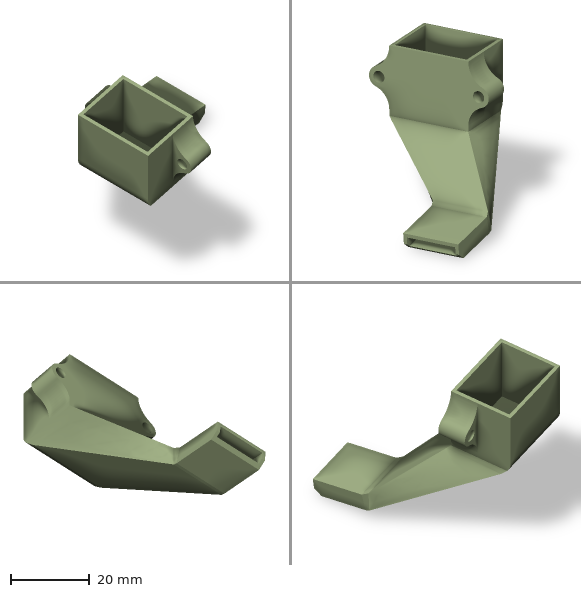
import cadquery as cq
import math

wall = 1.0
box_width = 22.95
box_depth = 18.05
box_bottom = -19.15
bend_radius = 5.0
bend_start = -16.1

ear_thickness = 8.0
ear_offset = 3.0
ear_z = -9.1
ear_radius = 2.9
ear_reach_up = -ear_z
ear_reach_down = 8.3
hole_diameter = 3.2

shoulder_bottom = (2.5, -20.45)
shoulder_top = (18.95, -19.95)
shoulder_left = -0.7
shoulder_width = 22.55
shoulder_shift = -0.1

tip_left = -15.05
tip_width = 16.05
neck_shift = 0.6
neck_bottom = (32.95, -37.95)
neck_top = (33.6, -32.7)
tip_root_bottom = (34.05, -38.4)
tip_root_top = (35.3, -33.55)
tip_lip = (48.05, -35.6)
tip_end_top = (50.1, -35.95)
tip_end_bottom = (49.75, -38.9)
tip_chamfer_bottom = (47.5, -40.55)
outlet_overrun = 2.5


def side_prism(outline, left, width):
    """Extrude a YZ workplane outline along +X."""
    return outline.extrude(width).translate((left, 0, 0))


def box_body(inset):
    """Box volume shrunk by inset, with a concentric rounded lower front edge."""
    radius = bend_radius - inset

    def bend_y(z):
        return bend_radius - math.sqrt(radius**2 - (bend_start - z) ** 2)

    front_bottom = bend_y(box_bottom)
    middle_z = (bend_start + box_bottom) / 2
    outline = (
        cq.Workplane("YZ")
        .moveTo(inset, 0)
        .lineTo(inset, bend_start)
        .threePointArc((bend_y(middle_z), middle_z), (front_bottom, box_bottom))
        .lineTo(box_depth - inset, box_bottom)
        .lineTo(box_depth - inset, 0)
        .close()
    )
    body = side_prism(outline, inset, box_width - 2 * inset)
    return body, front_bottom


def section(bottom, top, left, width, top_shift, inset):
    """Four-sided duct section between two (Y, Z) points, inset on every side."""
    length = math.dist(bottom, top)
    step_y = (top[0] - bottom[0]) / length * inset
    step_z = (top[1] - bottom[1]) / length * inset
    low = (bottom[0] + step_y, bottom[1] + step_z)
    high = (top[0] - step_y, top[1] - step_z)
    x0 = left + inset
    x1 = left + width - inset
    corners = [
        (x0, *low),
        (x1, *low),
        (x1 + top_shift, *high),
        (x0 + top_shift, *high),
    ]
    return cq.Wire.makePolygon([cq.Vector(*p) for p in corners], close=True)


def arm_body(front_bottom, inset):
    """Ruled arm from the underside of the box through the neck to the tip root."""
    corners = [
        (inset, front_bottom, box_bottom),
        (box_width - inset, front_bottom, box_bottom),
        (box_width - inset, box_depth - inset, box_bottom),
        (inset, box_depth - inset, box_bottom),
    ]
    inlet = cq.Wire.makePolygon([cq.Vector(*p) for p in corners], close=True)
    neck = section(neck_bottom, neck_top, tip_left, tip_width, neck_shift, inset)
    root = section(tip_root_bottom, tip_root_top, tip_left, tip_width, 0, inset)
    stations = [inlet, neck, root]
    if inset == 0:
        shoulder = section(
            shoulder_bottom, shoulder_top, shoulder_left, shoulder_width, shoulder_shift, 0
        )
        stations.insert(1, shoulder)
    arm = cq.Workplane("XY")
    for start, end in zip(stations, stations[1:]):
        arm = arm.add(cq.Solid.makeLoft([start, end], True))
    return arm.combine()


def tip_body():
    """Solid tip with a chamfered lower end."""
    outline = cq.Workplane("YZ").polyline(
        [
            tip_root_bottom,
            tip_root_top,
            tip_lip,
            tip_end_top,
            tip_end_bottom,
            tip_chamfer_bottom,
        ]
    ).close()
    return side_prism(outline, tip_left, tip_width)


def tip_cavity():
    """Straight passage continuing the arm cavity out through the tip end."""
    root = section(tip_root_bottom, tip_root_top, tip_left, tip_width, 0, wall)
    run_y = tip_end_top[0] - tip_root_top[0]
    run_z = tip_end_top[1] - tip_root_top[1]
    reach = 1 + outlet_overrun / run_y
    path = cq.Vector(0, run_y * reach, run_z * reach)
    return cq.Workplane(cq.Solid.extrudeLinear(root, [], path))


def ear_blend(reach):
    """Middle and lug end, as (X, height from hole), of the arc tangent to box side and lug."""
    radius = (reach**2 + ear_offset**2 - ear_radius**2) / (2 * (ear_radius + ear_offset))
    run = radius - ear_offset
    lug_share = ear_radius / (radius + ear_radius)
    half_sweep = math.atan2(reach, run) / 2
    middle = (radius * (math.cos(half_sweep) - 1), reach - radius * math.sin(half_sweep))
    lug_end = (-ear_offset - run * lug_share, reach * lug_share)
    return middle, lug_end


def left_ear():
    """Drilled round lug blended into the box side by concave arcs."""
    upper_middle, upper_end = ear_blend(ear_reach_up)
    lower_middle, lower_end = ear_blend(ear_reach_down)
    root_x = wall / 2
    return (
        cq.Workplane("XZ", origin=(0, box_depth, ear_z))
        .moveTo(0, ear_reach_up)
        .threePointArc(upper_middle, upper_end)
        .threePointArc((-ear_offset - ear_radius, 0), (lower_end[0], -lower_end[1]))
        .threePointArc((lower_middle[0], -lower_middle[1]), (0, -ear_reach_down))
        .lineTo(root_x, -ear_reach_down)
        .lineTo(root_x, ear_reach_up)
        .close()
        .moveTo(-ear_offset, 0)
        .circle(hole_diameter / 2)
        .extrude(ear_thickness)
    )


outer_box, outer_front = box_body(0)
inner_box, inner_front = box_body(wall)
outer = outer_box.union(arm_body(outer_front, 0)).union(tip_body())
cavity = inner_box.union(arm_body(inner_front, wall)).union(tip_cavity())
ear = left_ear()
opposite_ear = ear.mirror("YZ").translate((box_width, 0, 0))
result = outer.union(ear).union(opposite_ear).cut(cavity)